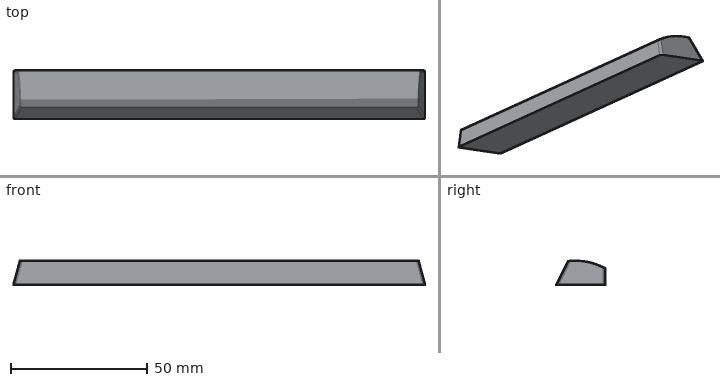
import cadquery as cq
import math

length = 151.4
depth = 18.0
height = 9.0

back_height = 6.0
front_slope_run = 4.4
crown_to_back = 11.0

end_slope_run = 2.4
corner_radius = 0.9

rim_radius = 0.3

front_y = -depth / 2
back_y = depth / 2
crown_y = back_y - crown_to_back
front_edge_y = front_y + front_slope_run

crown_drop = height - back_height
crown_radius = (crown_to_back**2 + crown_drop**2) / (2 * crown_drop)
crown_center_z = height - crown_radius

def crown_z(y):
    """Height of the crowned top at a given y."""
    return crown_center_z + math.sqrt(crown_radius**2 - (y - crown_y) ** 2)

def make_bar():
    """Cross-section extruded along X over the full length."""
    return (
        cq.Workplane("YZ")
        .moveTo(front_y, 0)
        .lineTo(back_y, 0)
        .lineTo(back_y, back_height)
        .threePointArc((crown_y, height), (front_edge_y, crown_z(front_edge_y)))
        .close()
        .extrude(length / 2, both=True)
    )

def make_end_envelope():
    """Trapezoidal block whose sides are the two leaning ends."""
    half_base = length / 2
    half_top = half_base - end_slope_run
    return (
        cq.Workplane("XZ")
        .polyline([(-half_base, 0), (half_base, 0), (half_top, height), (-half_top, height)])
        .close()
        .extrude(depth / 2, both=True)
    )

body = make_bar().intersect(make_end_envelope())

rounded_back = body.faces(">Y").edges("<X or >X").fillet(corner_radius)
rounded = rounded_back.faces("<Y").edges("<X or >X").fillet(corner_radius)

result = rounded.faces(">Z").edges().fillet(rim_radius)